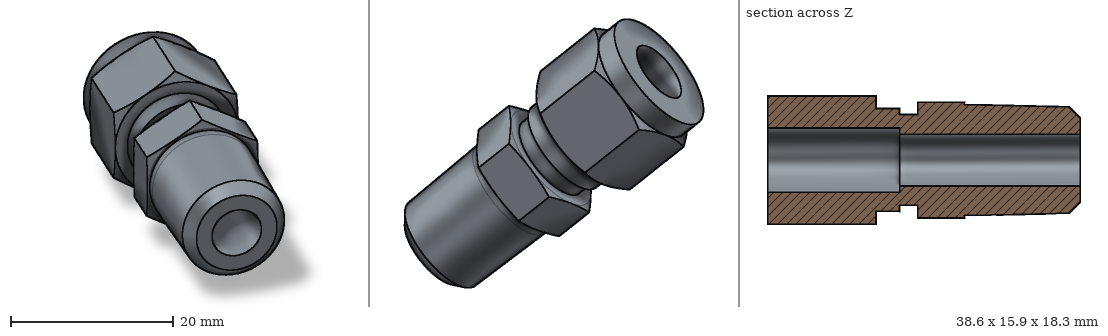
import cadquery as cq
import math


length = 38.6
collar_end = 2.7
nut_end = 13.4
shoulder_end = 16.3
neck_end = 18.53
body_hex_end = 24.3
taper_start = 25.35

nut_across_flats = 15.85
collar_diameter = nut_across_flats
shoulder_diameter = 12.75
neck_diameter = 11.27
body_hex_across_flats = 14.3
taper_large_diameter = 13.7
taper_small_diameter = 13.15
tip_chamfer = 1.4

nut_chamfer_angle = 30.0
body_hex_chamfer_angle = 15.0

socket_diameter = 7.9
socket_depth = shoulder_end
bore_diameter = 6.35


def cylinder(x_start, x_end, diameter):
    """Round section between two stations on the X axis."""
    return cq.Workplane("YZ", origin=(x_start, 0, 0)).circle(diameter / 2).extrude(x_end - x_start)


def revolve_profile(points):
    """Turn a closed profile of (x, radius) points about the X axis."""
    return cq.Workplane("XY").polyline(points).close().revolve(360, (0, 0, 0), (1, 0, 0))


def chamfered_hexagon(x_start, x_end, across_flats, chamfer_angle):
    """Hexagon with corners at +Z and -Z, coned at both ends down to the inscribed circle."""
    flat_radius = across_flats / 2
    corner_radius = flat_radius / math.cos(math.radians(30))
    chamfer_length = (corner_radius - flat_radius) * math.tan(math.radians(chamfer_angle))
    hexagon = (
        cq.Workplane("YZ", origin=(x_start, 0, 0))
        .transformed(rotate=(0, 0, 90))
        .polygon(6, 2 * corner_radius)
        .extrude(x_end - x_start)
    )
    cone_envelope = revolve_profile([
        (x_start, 0),
        (x_start, flat_radius),
        (x_start + chamfer_length, corner_radius),
        (x_end - chamfer_length, corner_radius),
        (x_end, flat_radius),
        (x_end, 0),
    ])
    return hexagon.intersect(cone_envelope)


def male_end():
    """Short plain section, gentle taper and 45 degree chamfer at the tip."""
    large_radius = taper_large_diameter / 2
    small_radius = taper_small_diameter / 2
    return revolve_profile([
        (body_hex_end, 0),
        (body_hex_end, large_radius),
        (taper_start, large_radius),
        (length - tip_chamfer, small_radius),
        (length, small_radius - tip_chamfer),
        (length, 0),
    ])


collar = cylinder(0, collar_end, collar_diameter)
nut = chamfered_hexagon(collar_end, nut_end, nut_across_flats, nut_chamfer_angle)
shoulder = cylinder(nut_end, shoulder_end, shoulder_diameter)
neck = cylinder(shoulder_end, neck_end, neck_diameter)
body_hex = chamfered_hexagon(neck_end, body_hex_end, body_hex_across_flats, body_hex_chamfer_angle)
outer_form = collar.union(nut).union(shoulder).union(neck).union(body_hex).union(male_end())

socket = cylinder(0, socket_depth, socket_diameter)
bore = cylinder(0, length, bore_diameter)

result = outer_form.cut(socket).cut(bore)